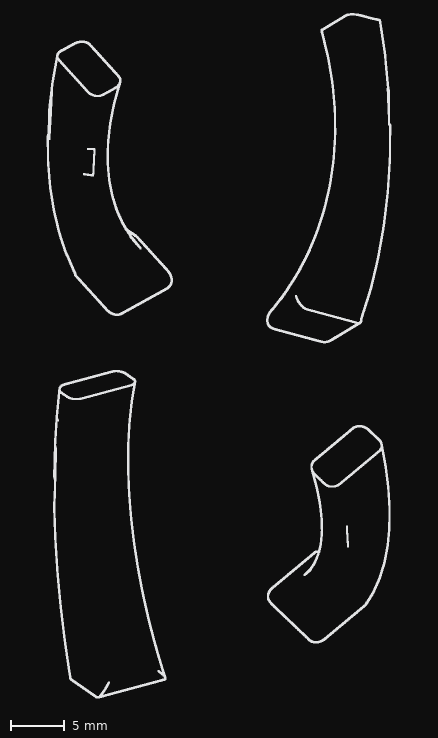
import cadquery as cq
import math

width = 7.0
edge_radius = 1.0
long_edge_min_height = 15.05
outer_radius = 57.9
outer_center = (58.02, 18.85)
inner_radius = 30.08
inner_center = (33.27, 21.0)
end_slope = 0.12
bottom_height_at_origin = -0.45
top_height_at_origin = 29.57
hollow_start_y = 2.47
hollow_radius = 3.9


def arc_y(center, radius, z):
    """Y of the -Y side of a circle at height z."""
    return center[0] - math.sqrt(radius**2 - (z - center[1])**2)


def point_on_line(center, radius, line_height):
    """Meeting point of a circle's -Y side and an end line."""
    offset_z = line_height + end_slope * center[0] - center[1]
    quadratic = 1 + end_slope**2
    half_linear = end_slope * offset_z
    constant = offset_z**2 - radius**2
    step = (-half_linear - math.sqrt(half_linear**2 - quadratic * constant)) / quadratic
    y = center[0] + step
    return y, line_height + end_slope * y


def middle_point(center, radius, start, end):
    """Point of a circle's -Y side halfway in height between two points."""
    z = (start[1] + end[1]) / 2
    return arc_y(center, radius, z), z


bottom_outer = point_on_line(outer_center, outer_radius, bottom_height_at_origin)
bottom_inner = point_on_line(inner_center, inner_radius, bottom_height_at_origin)
top_inner = point_on_line(inner_center, inner_radius, top_height_at_origin)

hollow_start = (hollow_start_y, top_height_at_origin + end_slope * hollow_start_y)
slope_angle = math.atan(end_slope)
hollow_center = (
    hollow_start[0] - hollow_radius * math.sin(slope_angle),
    hollow_start[1] + hollow_radius * math.cos(slope_angle),
)


def hollow_point(y):
    """Point of the hollow's floor at a given Y."""
    return y, hollow_center[1] - math.sqrt(hollow_radius**2 - (y - hollow_center[0])**2)


rough_y = arc_y(outer_center, outer_radius, hollow_start[1])
top_outer = hollow_point(arc_y(outer_center, outer_radius, hollow_point(rough_y)[1]))
hollow_middle = hollow_point((hollow_start[0] + top_outer[0]) / 2)


def make_bar():
    """Full-width bar with sharp edges."""
    return (
        cq.Workplane("YZ", origin=(-width / 2, 0, 0))
        .moveTo(*bottom_outer)
        .lineTo(*bottom_inner)
        .threePointArc(middle_point(inner_center, inner_radius, bottom_inner, top_inner), top_inner)
        .lineTo(*hollow_start)
        .threePointArc(hollow_middle, top_outer)
        .threePointArc(middle_point(outer_center, outer_radius, top_outer, bottom_outer), bottom_outer)
        .close()
        .extrude(width)
    )


def is_long_edge(edge):
    box = edge.BoundingBox()
    return box.zlen > long_edge_min_height


def is_bottom_cross_edge(edge):
    box = edge.BoundingBox()
    return box.xlen > width / 2 and box.zmax < edge_radius


def fillet_edges(bar, wanted):
    """Round the edges of a bar that the given test picks out."""
    edges = [edge for edge in bar.edges().vals() if wanted(edge)]
    return bar.newObject(edges).fillet(edge_radius)


long_rounded = fillet_edges(make_bar(), is_long_edge)
end_rounded = fillet_edges(make_bar(), is_bottom_cross_edge)
result = long_rounded.intersect(end_rounded)